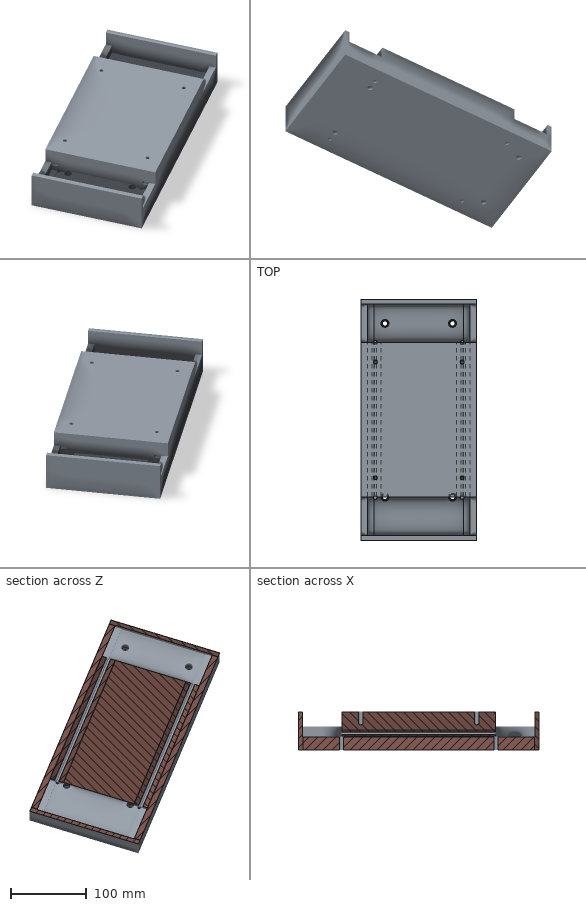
import cadquery as cq
import math

LENGTH = 317.5
WIDTH = 152.5
HEIGHT = 50.8
END_THICKNESS = 6.5
TABLE_LENGTH = 203.2

BASE_LENGTH = LENGTH - 2 * END_THICKNESS
WALL_TOP = 30.8
WALL_INNER_X = 67.5
LEDGE_INNER_X = 59.0
LEDGE_Z = 18.5
FLOOR_Z = 17.8

RAIL_WIDTH = WALL_INNER_X - LEDGE_INNER_X
RAIL_HEIGHT = 8.0
RAIL_TOP = LEDGE_Z + RAIL_HEIGHT
RAIL_GAP = 0.5
GROOVE_DEPTH = 2.5
TABLE_RAIL_OUTER_X = LEDGE_INNER_X - RAIL_GAP
TABLE_RAIL_INNER_X = TABLE_RAIL_OUTER_X - RAIL_WIDTH

TABLE_BOTTOM = 22.0

SCREW_X = 57.0
SCREW_RADIUS = 2.5
TABLE_SCREW_Y = 76.2
TABLE_SCREW_DEPTH = 16.0
DRILL_TIP_ANGLE = 118.0
BASE_SCREW_Y = TABLE_LENGTH / 2

MOUNT_X = 44.5
MOUNT_YS = (-101.5, 127.0)
MOUNT_RADIUS = 3.5
BORE_RADIUS = 5.0
BORE_DEPTH = 9.5

SIDES = (-1, 1)


def extrude_along_y(points, length):
    """Extrude an XZ outline into a bar centred on Y = 0."""
    return cq.Workplane("XZ").polyline(points).close().extrude(length / 2, both=True)


def mirrored(half_outline):
    """Complete an outline whose +X half is listed from the bottom up to the top."""
    return half_outline + [(-x, z) for x, z in reversed(half_outline)]


def drill(body, places, radius, bottom, top):
    """Cut an upright round hole at each place."""
    holes = (
        cq.Workplane("XY").workplane(offset=bottom)
        .pushPoints(places).circle(radius).extrude(top - bottom)
    )
    return body.cut(holes)


def cut_drill_tips(body, places, radius, top):
    """Cut the pointed end of a blind drilled hole at each place."""
    tip_depth = radius / math.tan(math.radians(DRILL_TIP_ANGLE / 2))
    tip = cq.Solid.makeCone(radius, 0, tip_depth, dir=cq.Vector(0, 0, -1))
    for x, y in places:
        body = body.cut(cq.Workplane(tip.translate(cq.Vector(x, y, top))))
    return body


def make_base():
    outline = mirrored([
        (WIDTH / 2, 0),
        (WIDTH / 2, WALL_TOP),
        (WALL_INNER_X, WALL_TOP),
        (WALL_INNER_X, LEDGE_Z),
        (LEDGE_INNER_X, LEDGE_Z),
        (LEDGE_INNER_X, FLOOR_Z),
    ])
    body = extrude_along_y(outline, BASE_LENGTH)
    mounts = [(side * MOUNT_X, y) for side in SIDES for y in MOUNT_YS]
    body = drill(body, mounts, MOUNT_RADIUS, 0, FLOOR_Z)
    body = drill(body, mounts, BORE_RADIUS, FLOOR_Z - BORE_DEPTH, FLOOR_Z)
    screws = [(side * SCREW_X, end * BASE_SCREW_Y) for side in SIDES for end in SIDES]
    return drill(body, screws, SCREW_RADIUS, 0, LEDGE_Z)


def make_table():
    outline = mirrored([
        (TABLE_RAIL_INNER_X, TABLE_BOTTOM),
        (TABLE_RAIL_INNER_X, RAIL_TOP),
        (TABLE_RAIL_OUTER_X, RAIL_TOP),
        (TABLE_RAIL_OUTER_X, WALL_TOP),
        (WIDTH / 2, WALL_TOP),
        (WIDTH / 2, HEIGHT),
    ])
    body = extrude_along_y(outline, TABLE_LENGTH)
    screws = [(side * SCREW_X, end * TABLE_SCREW_Y) for side in SIDES for end in SIDES]
    hole_bottom = HEIGHT - TABLE_SCREW_DEPTH
    body = drill(body, screws, SCREW_RADIUS, hole_bottom, HEIGHT)
    return cut_drill_tips(body, screws, SCREW_RADIUS, hole_bottom)


def make_rail(plain_x, grooved_x):
    """Rail between two X positions, with a V groove along the face at grooved_x."""
    groove_x = grooved_x + (GROOVE_DEPTH if plain_x > grooved_x else -GROOVE_DEPTH)
    groove_z = LEDGE_Z + RAIL_HEIGHT / 2
    outline = [
        (plain_x, LEDGE_Z),
        (grooved_x, LEDGE_Z),
        (grooved_x, groove_z - GROOVE_DEPTH),
        (groove_x, groove_z),
        (grooved_x, groove_z + GROOVE_DEPTH),
        (grooved_x, RAIL_TOP),
        (plain_x, RAIL_TOP),
    ]
    return extrude_along_y(outline, TABLE_LENGTH)


def make_end_plate(end):
    centre_y = end * (LENGTH - END_THICKNESS) / 2
    plate = cq.Workplane("XY").box(WIDTH, END_THICKNESS, HEIGHT, centered=(True, True, False))
    return plate.translate((0, centre_y, 0))


base = make_base()
table = make_table()
base_rails = [make_rail(side * WALL_INNER_X, side * LEDGE_INNER_X) for side in SIDES]
table_rails = [make_rail(side * TABLE_RAIL_INNER_X, side * TABLE_RAIL_OUTER_X) for side in SIDES]
end_plates = [make_end_plate(end) for end in SIDES]

bodies = [base, table, *base_rails, *table_rails, *end_plates]
result = cq.Compound.makeCompound([body.val() for body in bodies])